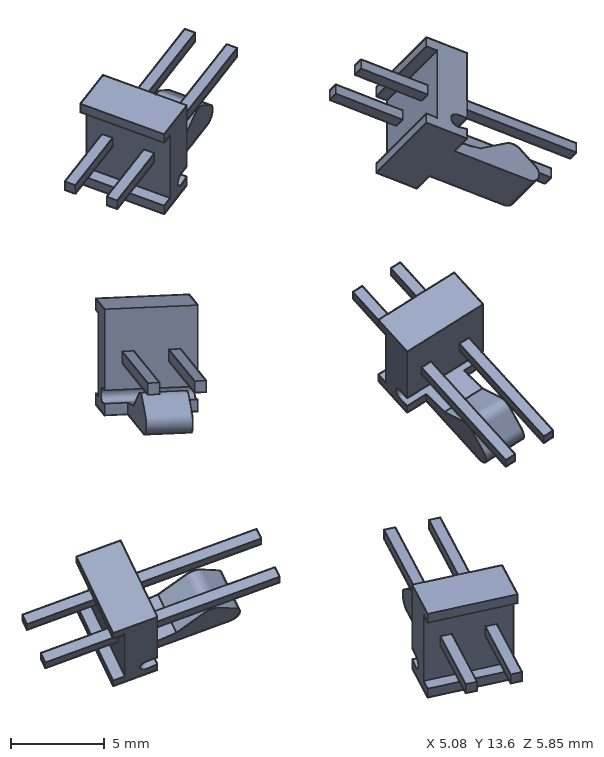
import cadquery as cq
import math


housing_width = 5.08
housing_height = 5.85
housing_depth = 2.57
lip_depth = 0.68
lip_height = 0.63

pin_size = 0.64
pin_pitch = 2.54
pin_length = 13.59
pin_reach = 7.49
pin_height = 3.17

latch_width = pin_pitch
tip_radius = 0.64
tip_centre = (4.69, tip_radius)
crest_radius = 0.77
crest_centre = (3.67, 1.26)
latch_bend = (1.63, 0.87)

slot_radius = 0.41
slot_centre = (-0.6, 0.98)


def point_on_circle(centre, radius, angle):
    return (centre[0] + radius * math.cos(angle), centre[1] + radius * math.sin(angle))


def tangent_angle(start, start_radius, end, end_radius, side):
    """Direction from both centres to their common tangent line; side +1 is left of travel."""
    dy = end[0] - start[0]
    dz = end[1] - start[1]
    spread = math.acos((start_radius - end_radius) / math.hypot(dy, dz))
    return math.atan2(dz, dy) + side * spread


def extrude_across(profile, width):
    return profile.close().extrude(width / 2, both=True)


outer_angle = tangent_angle(tip_centre, tip_radius, crest_centre, crest_radius, -1)
inner_angle = tangent_angle(crest_centre, crest_radius, latch_bend, 0, -1)
slot_angle = tangent_angle(slot_centre, slot_radius, latch_bend, 0, -1)

slot_end = point_on_circle(slot_centre, slot_radius, slot_angle)
slope = (latch_bend[1] - slot_end[1]) / (latch_bend[0] - slot_end[0])
root_height = latch_bend[1] - slope * latch_bend[0]


def make_housing():
    web_front = lip_depth - housing_depth
    profile = (
        cq.Workplane("YZ")
        .moveTo(0, 0)
        .lineTo(-housing_depth, 0)
        .lineTo(-housing_depth, lip_height)
        .lineTo(web_front, lip_height)
        .lineTo(web_front, housing_height - lip_height)
        .lineTo(-housing_depth, housing_height - lip_height)
        .lineTo(-housing_depth, housing_height)
        .lineTo(0, housing_height)
        .lineTo(0, slot_centre[1] + slot_radius)
        .lineTo(slot_centre[0], slot_centre[1] + slot_radius)
        .threePointArc((slot_centre[0] - slot_radius, slot_centre[1]), slot_end)
        .lineTo(0, root_height)
    )
    return extrude_across(profile, housing_width)


def make_latch():
    profile = (
        cq.Workplane("YZ")
        .moveTo(0, 0)
        .lineTo(tip_centre[0], 0)
        .threePointArc(
            (tip_centre[0] + tip_radius, tip_centre[1]),
            point_on_circle(tip_centre, tip_radius, outer_angle),
        )
        .lineTo(*point_on_circle(crest_centre, crest_radius, outer_angle))
        .threePointArc(
            (crest_centre[0], crest_centre[1] + crest_radius),
            point_on_circle(crest_centre, crest_radius, inner_angle),
        )
        .lineTo(*latch_bend)
        .lineTo(0, root_height)
    )
    return extrude_across(profile, latch_width)


def make_pin(x):
    pin_middle = pin_reach - pin_length / 2
    return cq.Workplane("XY").box(pin_size, pin_length, pin_size).translate((x, pin_middle, pin_height))


result = make_housing().union(make_latch())
for pin_x in (-pin_pitch / 2, pin_pitch / 2):
    result = result.union(make_pin(pin_x))